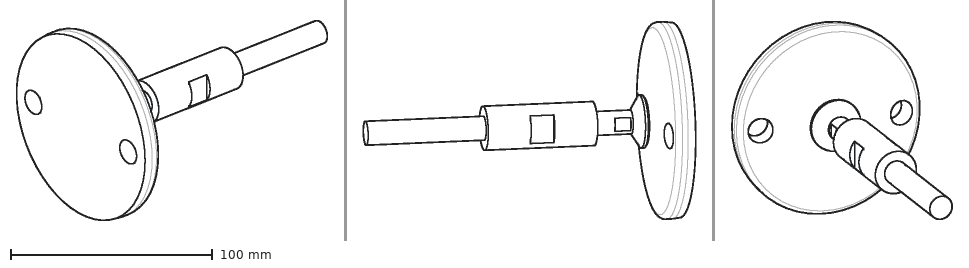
import cadquery as cq
import math


foot_radius = 97.98 / 2
underside_radius = 48.5
lower_rim_height = 4.1
foot_height = 15.7
foot_slope = 9.5
shoulder_radius = 3.0
seat_radius = 12.0

hole_diameter = 12.5
hole_offset = 35.75
hole_cut_length = 4 * foot_height

rod_diameter = 12.0
rod_end = 157.0
collar_radius = 13.2
collar_rim_bottom = 16.6
collar_rim_top = 18.0
collar_top = 22.7

sleeve_diameter = 22.0
sleeve_bottom = 41.7
sleeve_length = 55.5
sleeve_middle = sleeve_bottom + sleeve_length / 2

rod_flat_width = 10.0
rod_flat_length = 8.0
rod_flat_middle = 27.8
sleeve_flat_width = 17.0
sleeve_flat_length = 12.0


def revolve_about_y(outline):
    return outline.close().revolve(360, (0, 0, 0), (0, 1, 0))


def slanted_hole(side):
    """Cutter on the given X side (-1 or +1), leaning outwards as it rises."""
    lean = math.radians(foot_slope)
    direction = cq.Vector(side * math.sin(lean), math.cos(lean), 0)
    centre = cq.Vector(side * hole_offset, 0, 0)
    start = centre - direction * (hole_cut_length / 2)
    return cq.Workplane(cq.Solid.makeCylinder(hole_diameter / 2, hole_cut_length, start, direction))


def make_foot():
    slope = math.radians(foot_slope)
    corner_height = foot_height - (foot_radius - seat_radius) * math.tan(slope)
    arc_angle = math.pi / 2 - slope
    arc_bottom = corner_height - shoulder_radius * math.tan(arc_angle / 2)
    arc_centre_radius = foot_radius - shoulder_radius

    def arc_point(angle):
        return (arc_centre_radius + shoulder_radius * math.cos(angle),
                arc_bottom + shoulder_radius * math.sin(angle))

    foot = revolve_about_y(
        cq.Workplane("XY")
        .lineTo(underside_radius, 0)
        .lineTo(foot_radius, lower_rim_height)
        .lineTo(foot_radius, arc_bottom)
        .threePointArc(arc_point(arc_angle / 2), arc_point(arc_angle))
        .lineTo(seat_radius, foot_height)
        .lineTo(0, foot_height)
    )
    for side in (-1, 1):
        foot = foot.cut(slanted_hole(side))
    return foot


def cut_flats(body, width, length, middle):
    """Cut two parallel flats, the given width apart across X."""
    depth = sleeve_diameter
    for side in (-1, 1):
        cutter = cq.Workplane("XY").box(depth, length, sleeve_diameter)
        body = body.cut(cutter.translate((side * (width + depth) / 2, middle, 0)))
    return body


def make_spindle():
    rod_radius = rod_diameter / 2
    sleeve_radius = sleeve_diameter / 2
    sleeve_top = sleeve_bottom + sleeve_length
    spindle = revolve_about_y(
        cq.Workplane("XY")
        .moveTo(0, foot_height)
        .lineTo(seat_radius, foot_height)
        .lineTo(collar_radius, collar_rim_bottom)
        .lineTo(collar_radius, collar_rim_top)
        .lineTo(rod_radius, collar_top)
        .lineTo(rod_radius, sleeve_bottom)
        .lineTo(sleeve_radius, sleeve_bottom)
        .lineTo(sleeve_radius, sleeve_top)
        .lineTo(rod_radius, sleeve_top)
        .lineTo(rod_radius, rod_end)
        .lineTo(0, rod_end)
    )
    spindle = cut_flats(spindle, rod_flat_width, rod_flat_length, rod_flat_middle)
    return cut_flats(spindle, sleeve_flat_width, sleeve_flat_length, sleeve_middle)


foot = make_foot()
spindle = make_spindle()

result = cq.Compound.makeCompound([foot.val(), spindle.val()])